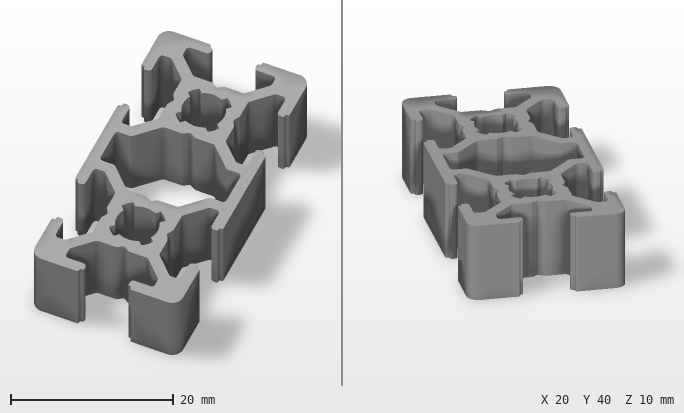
import cadquery as cq
import math

cell = 20.0
length = 10.0
lip_to_lip = 17.0
hub_width = 9.0
slot_width = 12.0
mouth_width = 6.0
step_width = 7.0
groove_width = 1.75
groove_slope = 30.0
bore_diameter = 5.5
relief_width = 1.55
relief_diameter = 7.0

edge_radius = 0.2
corner_radius = 0.5

half_cell = cell / 2
wall = (cell - lip_to_lip) / 2
groove_depth = groove_width / 2 * math.tan(math.radians(groove_slope))
lip_face = lip_to_lip / 2
hub_face = hub_width / 2
step_depth = (step_width - mouth_width) / 2
web_offset = wall / math.sqrt(2)
cell_centers = (-half_cell, half_cell)


def rounded_prism(corners):
    """Extrude a closed outline of (x, y, corner radius) entries along Z."""
    prism = cq.Workplane().polyline([(x, y) for x, y, _ in corners]).close().extrude(length)
    for x, y, radius in corners:
        if radius > 0:
            corner_edge = cq.selectors.NearestToPointSelector((x, y, length / 2))
            prism = prism.edges("|Z").edges(corner_edge).fillet(radius)
    return prism


def make_slot():
    """T-slot opening toward +Y of a cell centered on the origin."""
    right_side = [
        (groove_width / 2, hub_face, edge_radius),
        (hub_face - web_offset, hub_face, corner_radius),
        (slot_width / 2, slot_width / 2 + web_offset, corner_radius),
        (slot_width / 2, lip_face, corner_radius),
        (mouth_width / 2, lip_face, corner_radius),
        (mouth_width / 2, half_cell - step_depth, edge_radius),
        (step_width / 2, half_cell - step_depth, edge_radius),
        (step_width / 2, half_cell, edge_radius),
        (slot_width / 2, half_cell, 0),
        (slot_width / 2, half_cell + wall, 0),
    ]
    groove_bottom = (0, hub_face - groove_depth, edge_radius)
    left_side = [(-x, y, r) for x, y, r in reversed(right_side)]
    return rounded_prism([groove_bottom] + right_side + left_side)


def make_bore():
    """Round bore with two crossed diagonal relief slots."""
    bore = cq.Workplane().circle(bore_diameter / 2).extrude(length)
    relief_end = cq.Workplane().circle(relief_diameter / 2).extrude(length)
    relief = cq.Workplane().rect(relief_diameter, relief_width).extrude(length).intersect(relief_end)
    for angle in (45, 135):
        bore = bore.union(relief.rotate((0, 0, 0), (0, 0, 1), angle))
    return bore


def make_cavity():
    """Closed chamber between the two hubs, centered on the origin."""
    hub_y = half_cell - hub_face
    shelf_y = half_cell - slot_width / 2 - wall
    web_x = slot_width / 2 + wall - web_offset
    upper_right = [
        (groove_width / 2, hub_y, edge_radius),
        (hub_face - web_offset, hub_y, corner_radius),
        (web_x, shelf_y, corner_radius),
        (lip_face, shelf_y, corner_radius),
    ]
    lower_right = [(x, -y, r) for x, y, r in reversed(upper_right)]
    groove_y = hub_y + groove_depth
    right_side = upper_right + lower_right
    left_side = [(-x, -y, r) for x, y, r in right_side]
    upper_groove = [(0, groove_y, edge_radius)]
    lower_groove = [(0, -groove_y, edge_radius)]
    return rounded_prism(upper_groove + right_side + lower_groove + left_side)


result = cq.Workplane().rect(cell, 2 * cell).extrude(length).edges("|Z").fillet(wall)

slot = make_slot()
bore = make_bore()
for center in cell_centers:
    result = result.cut(bore.translate((0, center, 0)))
    end_angle = 0 if center > 0 else 180
    for angle in (90, -90, end_angle):
        turned_slot = slot.rotate((0, 0, 0), (0, 0, 1), angle)
        result = result.cut(turned_slot.translate((0, center, 0)))
result = result.cut(make_cavity())